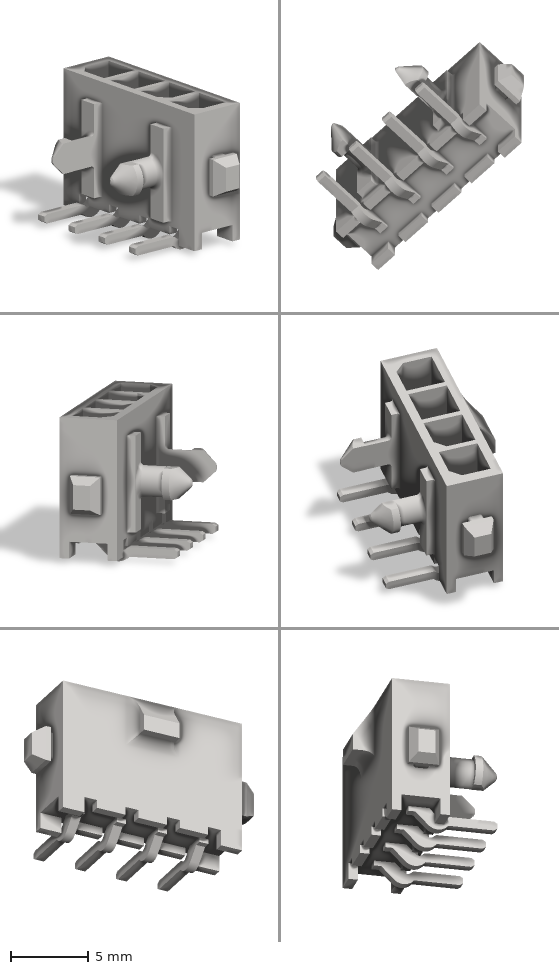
import cadquery as cq
import math


body_length = 13.01
body_depth = 3.85
body_height = 9.26
front_y = -body_depth / 2
back_y = body_depth / 2

contact_count = 4
pitch = 3.0
contact_xs = [(i - (contact_count - 1) / 2) * pitch for i in range(contact_count)]
cavity_size = 2.63
cavity_depth = 6.45
cavity_floor_z = body_height - cavity_depth
key_chamfer = 0.68
key_sides = ["<X", None, ">X", ">X"]

foot_thickness = 0.63
channel_height = 1.11
middle_foot_z = 0.55
slot_width = 0.94
foot_gap_length = contact_xs[-1] - contact_xs[0] + slot_width

pin_size = 0.65
blade_tip_z = 7.26
root_embed = 0.32
blade_root_z = channel_height + root_embed
shoulder_y = 0.42
shoulder_z = 0.77
bend_start_y = -0.05
tail_rise_y = -2.16
tail_end_y = -5.5
upper_bend_radius = 0.32
outer_bend_radius = 0.9
outer_bend_y = -1.53
valley_y = -1.8
tail_thickness = 0.63
tail_bottom_z = 0.0
tail_top_z = tail_bottom_z + tail_thickness
tail_tip_length = 0.21
tail_tip_height = 0.13

latch_width = 2.58
latch_tip_y = 3.23
latch_bottom_z = 6.33
latch_tip_top_z = 7.41
latch_fillet = 0.63

clip_tip_x = 8.07
clip_plate_inner_x = 6.92
clip_plate_thickness = 0.35
clip_taper_length = clip_tip_x - clip_plate_inner_x - clip_plate_thickness
clip_width = 2.02
clip_height = 2.49
clip_taper_inset = 0.44
neck_width = 1.02
neck_height = 1.99
neck_fillet = 0.2
left_clip_z = 4.35
right_clip_z = 4.94

rail_inner_x = 2.81
rail_width = 1.26
rail_height = 0.55
rail_bottom_z = 1.45
rail_top_z = 7.83
rail_flare = 0.2
post_z = 4.66
post_radius = 1.02
post_base_radius = rail_width
head_radius = 1.34
head_half_height = 1.03
cone_radius = 0.29
tip_radius = 0.15
rail_face_y = front_y - rail_height
head_start_y = -4.25
cone_start_y = -4.75
tip_y = -5.95
cone_end_y = -5.87

overlap = 0.16


def box(x_range, y_range, z_range):
    """Block spanning the given x, y and z limits."""
    sizes = [high - low for low, high in (x_range, y_range, z_range)]
    corner = (x_range[0], y_range[0], z_range[0])
    return cq.Workplane("XY").box(*sizes, centered=False).translate(corner)


def centred(middle, size):
    """Limits of a span of the given size around its middle."""
    return (middle - size / 2, middle + size / 2)


def make_housing():
    full_depth = (front_y, back_y)
    body = box(centred(0, body_length), full_depth, (0, body_height))
    channel = centred(0, body_depth - 2 * foot_thickness)
    body = body.cut(box(centred(0, body_length), channel, (0, channel_height)))
    body = body.cut(box(centred(0, foot_gap_length), full_depth, (0, middle_foot_z)))
    for x in contact_xs:
        body = body.cut(box(centred(x, slot_width), full_depth, (0, channel_height)))
    return body


def make_cavity(x, key_side):
    cavity = box(centred(x, cavity_size), centred(0, cavity_size), (cavity_floor_z, body_height))
    if key_side:
        cavity = cavity.faces("<Y").edges(key_side).chamfer(key_chamfer)
    return cavity


def make_latch():
    """Ramped latch, its two sides and underside blended into the back wall."""
    flare_half_width = latch_width / 2 + 2 * latch_fillet
    flare_bottom_z = latch_bottom_z - 2 * latch_fillet
    tall_z = 2 * body_height
    wall_y = back_y - overlap

    wall = box((-flare_half_width, flare_half_width), (wall_y, back_y), (flare_bottom_z, tall_z))
    block = box(centred(0, latch_width), (back_y, latch_tip_y), (latch_bottom_z, tall_z))
    reach = latch_width / 2 + overlap
    root_edges = cq.selectors.BoxSelector(
        (-reach, back_y - overlap / 2, latch_bottom_z - overlap),
        (reach, back_y + overlap / 2, tall_z),
    )
    blended = wall.union(block).edges(root_edges).fillet(latch_fillet)
    ramp = (
        cq.Workplane("YZ")
        .moveTo(wall_y, body_height)
        .lineTo(back_y, body_height)
        .lineTo(latch_tip_y, latch_tip_top_z)
        .lineTo(latch_tip_y, flare_bottom_z)
        .lineTo(wall_y, flare_bottom_z)
        .close()
        .extrude(flare_half_width, both=True)
    )
    return blended.intersect(ramp)


def make_contact(x):
    """Straight blade in the cavity, and a tail dipping under the front foot."""
    blade = box(centred(x, pin_size), centred(0, pin_size), (blade_root_z, blade_tip_z))

    reach = outer_bend_radius * math.sqrt(0.5)
    arc_start = (outer_bend_y + reach, shoulder_z - (bend_start_y - outer_bend_y - reach))
    arc_bottom = (outer_bend_y, arc_start[1] + reach - outer_bend_radius)
    arc_end = (outer_bend_y - reach, arc_start[1])
    rise_end = (arc_end[0] - (tail_bottom_z - arc_end[1]), tail_bottom_z)

    valley_z = tail_top_z - (valley_y - tail_rise_y)
    root_y = valley_y + blade_root_z - valley_z
    tail = (
        cq.Workplane("YZ")
        .moveTo(shoulder_y, blade_root_z)
        .lineTo(shoulder_y, shoulder_z)
        .lineTo(bend_start_y, shoulder_z)
        .lineTo(*arc_start)
        .threePointArc(arc_bottom, arc_end)
        .lineTo(*rise_end)
        .lineTo(tail_end_y + tail_tip_length, tail_bottom_z)
        .lineTo(tail_end_y, tail_bottom_z + tail_tip_height)
        .lineTo(tail_end_y, tail_top_z - tail_tip_height)
        .lineTo(tail_end_y + tail_tip_length, tail_top_z)
        .lineTo(tail_rise_y, tail_top_z)
        .lineTo(valley_y, valley_z)
        .lineTo(root_y, blade_root_z)
        .close()
        .extrude(pin_size / 2, both=True)
    )
    for y, z in ((valley_y, valley_z), (tail_rise_y, tail_top_z)):
        tail = tail.edges(cq.selectors.NearestToPointSelector((0, y, z))).fillet(upper_bend_radius)

    core = box(centred(x, pin_size), centred(0, pin_size), (channel_height, cavity_floor_z))
    return tail.translate((x, 0, 0)).union(core).union(blade)


def make_clip(centre_z, neck_offset):
    """Clip on the +x end: a rounded neck, a plate and a tapered nose."""
    neck_start_x = body_length / 2 - overlap
    neck = box(
        (neck_start_x, clip_plate_inner_x),
        centred(0, neck_width),
        centred(centre_z + neck_offset, neck_height),
    )
    neck = neck.edges("|X").fillet(neck_fillet)
    plate = (
        cq.Workplane("YZ", origin=(clip_plate_inner_x, 0, centre_z))
        .rect(clip_width, clip_height)
        .extrude(clip_plate_thickness)
    )
    taper_angle = math.degrees(math.atan(clip_taper_inset / clip_taper_length))
    nose = plate.faces(">X").workplane().rect(clip_width, clip_height)
    nose = nose.extrude(clip_taper_length, taper=taper_angle)
    return neck.union(nose)


def make_rail():
    """Rail on the +x half, its long sides curving out to meet the front wall."""
    outer_x = rail_inner_x + rail_width
    flare_y = front_y - rail_flare
    bulge = rail_flare * (1 - math.sqrt(0.5))
    return (
        cq.Workplane("XY", origin=(0, 0, rail_bottom_z))
        .moveTo(rail_inner_x, rail_face_y)
        .lineTo(rail_inner_x, flare_y)
        .threePointArc((rail_inner_x - bulge, front_y - bulge), (rail_inner_x - rail_flare, front_y))
        .lineTo(rail_inner_x - rail_flare, front_y + overlap)
        .lineTo(outer_x + rail_flare, front_y + overlap)
        .lineTo(outer_x + rail_flare, front_y)
        .threePointArc((outer_x + bulge, front_y - bulge), (outer_x, flare_y))
        .lineTo(outer_x, rail_face_y)
        .close()
        .extrude(rail_top_z - rail_bottom_z)
    )


def make_post():
    """Half-round barbed post on the +x rail, with its flat side facing the centre."""
    base_fillet = post_base_radius - post_radius
    bulge = base_fillet * (1 - math.sqrt(0.5))
    fillet_end_y = rail_face_y - base_fillet
    half_profile = (
        cq.Workplane("XY")
        .moveTo(0, rail_face_y + overlap)
        .lineTo(post_base_radius, rail_face_y + overlap)
        .lineTo(post_base_radius, rail_face_y)
        .threePointArc((post_radius + bulge, rail_face_y - bulge), (post_radius, fillet_end_y))
        .lineTo(post_radius, head_start_y)
        .lineTo(head_radius, head_start_y)
        .lineTo(head_radius, cone_start_y)
        .lineTo(cone_radius, cone_end_y)
        .lineTo(tip_radius, tip_y)
        .lineTo(0, tip_y)
        .close()
    )
    post = half_profile.revolve(360, (0, 0, 0), (0, 1, 0))
    outer_half = box((0, head_radius), (tip_y, front_y), centred(0, 2 * head_radius))

    head_reach = ((0, head_radius), (tip_y, head_start_y))
    above_flat = box(*head_reach, (head_half_height, head_radius))
    below_flat = box(*head_reach, (-head_radius, -head_half_height))
    post = post.intersect(outer_half).cut(above_flat).cut(below_flat)
    return post.translate((rail_inner_x, 0, post_z))


def mirrored(feature):
    """Copy of a feature on the opposite end of the housing."""
    return feature.mirror("YZ")


body = make_housing().union(make_latch())
for contact_x, side in zip(contact_xs, key_sides):
    body = body.cut(make_cavity(contact_x, side))

for contact_x in contact_xs:
    body = body.union(make_contact(contact_x))

neck_shift = (clip_height - neck_height) / 2
body = body.union(make_clip(right_clip_z, neck_shift))
body = body.union(mirrored(make_clip(left_clip_z, -neck_shift)))

mount = make_rail().union(make_post())
result = body.union(mount).union(mirrored(mount))